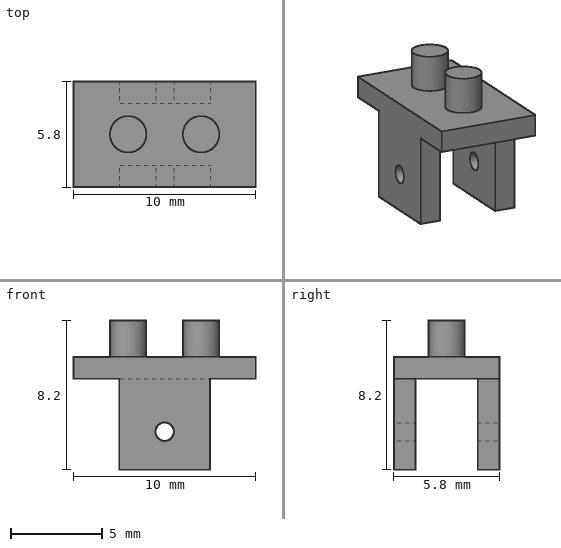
import cadquery as cq

plate_length = 10.0
plate_width = 5.8
thickness = 1.2

peg_diameter = 2.0
peg_height = 2.0
peg_spacing = 4.0

leg_length = 5.0
leg_height = 5.0

hole_diameter = 1.0
hole_above_leg_bottom = 2.1


def make_plate():
    return cq.Workplane("XY").box(plate_length, plate_width, thickness, centered=(True, True, False))


def make_pegs():
    return (
        cq.Workplane("XY", origin=(0, 0, thickness))
        .pushPoints([(-peg_spacing / 2, 0), (peg_spacing / 2, 0)])
        .circle(peg_diameter / 2)
        .extrude(peg_height)
    )


def make_legs():
    leg_offset = (plate_width - thickness) / 2
    return (
        cq.Workplane("XY")
        .pushPoints([(0, -leg_offset), (0, leg_offset)])
        .rect(leg_length, thickness)
        .extrude(-leg_height)
    )


def make_pin_hole():
    hole_z = hole_above_leg_bottom - leg_height
    return (
        cq.Workplane("XZ", origin=(0, 0, hole_z))
        .circle(hole_diameter / 2)
        .extrude(plate_width / 2, both=True)
    )


result = make_plate().union(make_pegs()).union(make_legs()).cut(make_pin_hole())